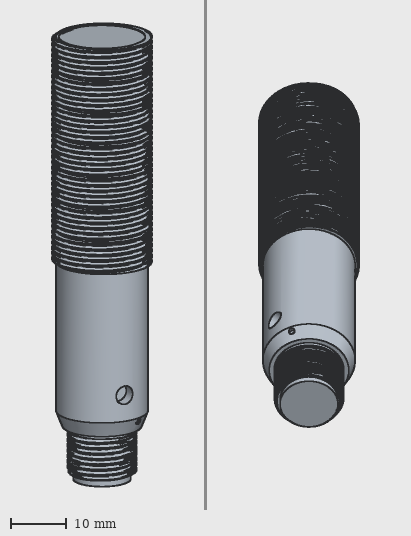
import cadquery as cq
import math

TOTAL_HEIGHT = 82.7
HEAD_THREAD_LENGTH = 42.0
HEAD_THREAD_BOTTOM = TOTAL_HEIGHT - HEAD_THREAD_LENGTH
TAPER_TOP = 12.8
TAPER_BOTTOM = 9.9
COLLAR_BOTTOM = 9.2
PLUG_THREAD_BOTTOM = 1.2

BODY_DIAMETER = 16.6
HEAD_THREAD_DIAMETER = 18.0
TAPER_END_DIAMETER = 14.3
PLUG_THREAD_DIAMETER = 12.6
PLUG_ROOT_DIAMETER = 10.9
TIP_DIAMETER = 10.4

HEAD_THREAD_TURNS = 42
PITCH = HEAD_THREAD_LENGTH / HEAD_THREAD_TURNS
HEAD_CREST_ARC = 45.0
PLUG_CREST_ARC = 15.0
ROOT_ARC = 45.0
FLANK_STEPS = 6
HEAD_THREAD_STAGES = 7
HEAD_CREST_HEIGHT = 82.6
PLUG_CREST_HEIGHT = 5.7
PLUG_THREAD_CHAMFER = 0.5
ENVELOPE_MARGIN = 0.1

LENS_DIAMETER = 15.55
LENS_FLAT_WIDTH = 14.7
LENS_RECESS = 0.2
LENS_GAP_DEPTH = 0.4

ADJUSTER_DIAMETER = 3.4
ADJUSTER_HEIGHT = 17.7
ADJUSTER_ANGLE = -26.0
ADJUSTER_DEPTH = 2.5

INDICATOR_DIAMETER = 1.1
INDICATOR_HEIGHT = 12.0
INDICATOR_FLOOR_RADIUS = 7.7


def cylinder(diameter, bottom, top):
    return cq.Workplane("XY").workplane(offset=bottom).circle(diameter / 2).extrude(top - bottom)


def thread_section(crest_diameter, root_diameter, crest_arc, crest_angle):
    """Cross-section of a thread: crest and root arcs joined by spiral flanks."""

    def point(radius, angle):
        turned = math.radians(crest_angle + angle)
        return (radius * math.cos(turned), radius * math.sin(turned))

    def flank(start_radius, end_radius, start_angle, end_angle):
        fractions = [step / FLANK_STEPS for step in range(FLANK_STEPS + 1)]
        return [
            point(
                start_radius + (end_radius - start_radius) * fraction,
                start_angle + (end_angle - start_angle) * fraction,
            )
            for fraction in fractions
        ]

    crest = crest_diameter / 2
    root = root_diameter / 2
    falling_flank = flank(crest, root, crest_arc / 2, 180 - ROOT_ARC / 2)
    rising_flank = flank(root, crest, 180 + ROOT_ARC / 2, 360 - crest_arc / 2)
    return (
        cq.Workplane("XY")
        .moveTo(*rising_flank[-1])
        .threePointArc(point(crest, 0), falling_flank[0])
        .spline(falling_flank[1:], includeCurrent=True)
        .threePointArc(point(root, 180), rising_flank[0])
        .spline(rising_flank[1:], includeCurrent=True)
        .close()
    )


def make_thread(crest_diameter, root_diameter, crest_arc, crest_height, bottom, length):
    """Solid threaded rod; one crest passes the +X side at crest_height."""
    crest_angle = 360 * (bottom - crest_height) / PITCH
    section = thread_section(crest_diameter, root_diameter, crest_arc, crest_angle)
    return section.twistExtrude(length, 360 * length / PITCH).translate((0, 0, bottom))


def make_head_stages():
    """Threaded upper half as a stack of equal lengths, with the lens in the top one."""
    stage_length = HEAD_THREAD_LENGTH / HEAD_THREAD_STAGES
    stages = [
        make_thread(
            HEAD_THREAD_DIAMETER,
            BODY_DIAMETER,
            HEAD_CREST_ARC,
            HEAD_CREST_HEIGHT,
            HEAD_THREAD_BOTTOM + stage * stage_length,
            stage_length,
        )
        for stage in range(HEAD_THREAD_STAGES)
    ]
    stages[-1] = stages[-1].cut(make_lens_seat(), clean=False)
    return stages


def make_sleeve():
    """Plain lower half: body, taper and the collar above the connector thread."""
    outline = [
        (0, COLLAR_BOTTOM),
        (PLUG_THREAD_DIAMETER / 2, COLLAR_BOTTOM),
        (PLUG_THREAD_DIAMETER / 2, TAPER_BOTTOM),
        (TAPER_END_DIAMETER / 2, TAPER_BOTTOM),
        (BODY_DIAMETER / 2, TAPER_TOP),
        (BODY_DIAMETER / 2, HEAD_THREAD_BOTTOM),
        (0, HEAD_THREAD_BOTTOM),
    ]
    sleeve = cq.Workplane("XZ").polyline(outline).close().revolve(360, (0, 0, 0), (0, 1, 0))
    sleeve = sleeve.cut(make_adjuster_hole())
    for direction in (1, -1):
        sleeve = sleeve.cut(make_indicator_window(direction))
    return sleeve


def make_plug():
    """Threaded connector with its plain tip."""
    length = COLLAR_BOTTOM - PLUG_THREAD_BOTTOM
    thread = make_thread(
        PLUG_THREAD_DIAMETER,
        PLUG_ROOT_DIAMETER,
        PLUG_CREST_ARC,
        PLUG_CREST_HEIGHT,
        PLUG_THREAD_BOTTOM,
        length,
    )
    envelope = cylinder(PLUG_THREAD_DIAMETER + 2 * ENVELOPE_MARGIN, PLUG_THREAD_BOTTOM, COLLAR_BOTTOM)
    envelope = envelope.faces("<Z").chamfer(PLUG_THREAD_CHAMFER)
    return thread.intersect(envelope).union(cylinder(TIP_DIAMETER, 0, PLUG_THREAD_BOTTOM))


def make_lens_seat():
    """Shallow round recess down to the lens, deeper between its flats and the seat wall."""
    lens_top = TOTAL_HEIGHT - LENS_RECESS
    gap_floor = TOTAL_HEIGHT - LENS_GAP_DEPTH
    seat = cylinder(LENS_DIAMETER, gap_floor, TOTAL_HEIGHT)
    lens = (
        cq.Workplane("XY")
        .workplane(offset=gap_floor)
        .rect(LENS_FLAT_WIDTH, LENS_DIAMETER)
        .extrude(lens_top - gap_floor)
    )
    return seat.cut(lens)


def make_adjuster_hole():
    floor_radius = BODY_DIAMETER / 2 - ADJUSTER_DEPTH
    hole = (
        cq.Workplane("YZ")
        .workplane(offset=floor_radius)
        .center(0, ADJUSTER_HEIGHT)
        .circle(ADJUSTER_DIAMETER / 2)
        .extrude(BODY_DIAMETER / 2)
    )
    return hole.rotate((0, 0, 0), (0, 0, 1), ADJUSTER_ANGLE)


def make_indicator_window(direction):
    """Window pocket on the +X side (direction 1) or the -X side (direction -1)."""
    return (
        cq.Workplane("YZ")
        .workplane(offset=direction * INDICATOR_FLOOR_RADIUS)
        .center(0, INDICATOR_HEIGHT)
        .circle(INDICATOR_DIAMETER / 2)
        .extrude(direction * BODY_DIAMETER / 2)
    )


stacked_pieces = [piece.val() for piece in [make_plug(), *make_head_stages()]]
result = cq.Workplane(make_sleeve().val().fuse(*stacked_pieces, glue=True).Solids()[0])